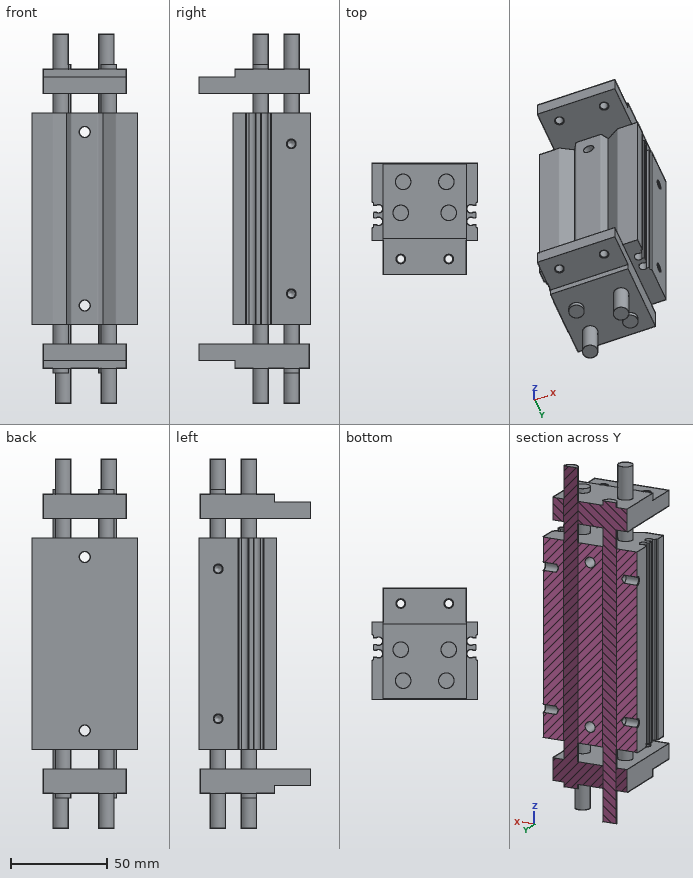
import cadquery as cq
import math


HOUSING_WIDTH = 55.0
HOUSING_DEPTH = 40.3
HOUSING_HEIGHT = 110.2
HALF_WIDTH = HOUSING_WIDTH / 2
HALF_HEIGHT = HOUSING_HEIGHT / 2

GROOVE_OUTER_X = 16.3
GROOVE_INNER_X = 7.1
GROOVE_LIP_RADIUS = 1.0
GROOVE_SLOPE = 30

SENSOR_Y = 13.2
SENSOR_PITCH = 6.5
SENSOR_DIAMETER = 4.2
SENSOR_MOUTH = 3.5
SENSOR_CENTRE_DEPTH = 3.5
RECESS_DEPTH = 0.8
RECESS_WIDTH = 12.7
RECESS_CHAMFER = 0.4
TONGUE_CHAMFER = 0.4

FRONT_HOLE_DIAMETER = 5.5
FRONT_HOLE_Z = 45.1
TAP_DIAMETER = 4.2
TAP_MOUTH_DIAMETER = 5.0
TAP_CHAMFER = (TAP_MOUTH_DIAMETER - TAP_DIAMETER) / 2
SIDE_HOLE_Y = 30.3
SIDE_HOLE_Z = 39.0
SIDE_HOLE_DEPTH = 7.7
DRILL_POINT_ANGLE = 118

ROD_DIAMETER = 8.0
FRONT_ROD_SPACING = 25.0
FRONT_ROD_X = FRONT_ROD_SPACING / 2
FRONT_ROD_Y = 14.4
BACK_ROD_SPACING = 22.5
BACK_ROD_X = BACK_ROD_SPACING / 2
BACK_ROD_Y = 30.5
ROD_FAR_Z = 96.0
ROD_STUB = 2.5

PLATE_WIDTH = 43.4
PLATE_INNER_Z = 65.0
PLATE_THICKNESS = 12.7
PLATE_OUTER_Z = PLATE_INNER_Z + PLATE_THICKNESS
TONGUE_THICKNESS = 8.6
PLATE_FRONT_Y = -17.7
PLATE_STEP_Y = 1.0
PLATE_BACK_Y = 39.7
PLATE_HOLE_X = FRONT_ROD_X
PLATE_HOLE_Y = -9.6

OWN_RODS = [(-BACK_ROD_X, BACK_ROD_Y), (FRONT_ROD_X, FRONT_ROD_Y)]
PASSING_RODS = [(-x, y) for x, y in OWN_RODS]


def rod_set(positions, bottom_z, top_z):
    """Vertical cylinders of the rod diameter at the given XY positions."""
    return (
        cq.Workplane("XY", origin=(0, 0, bottom_z))
        .pushPoints(positions)
        .circle(ROD_DIAMETER / 2)
        .extrude(top_z - bottom_z)
    )


def housing_prism(sketch):
    """Extrude an XY outline over the full housing height."""
    return sketch.extrude(HOUSING_HEIGHT)


def housing_plane():
    return cq.Workplane("XY", origin=(0, 0, -HALF_HEIGHT))


def mirrored_pair(cutter):
    """A cutter on the -X side together with its mirror image."""
    return cutter.union(cutter.mirror("YZ"))


def cut_front_grooves(block):
    """Cut two mirrored V-grooves with a 90 degree root, then round the lips."""
    slope = math.radians(GROOVE_SLOPE)
    long_flank = (GROOVE_OUTER_X - GROOVE_INNER_X) * math.cos(slope)
    root_x = -GROOVE_OUTER_X + long_flank * math.cos(slope)
    root_y = long_flank * math.sin(slope)
    outline = housing_plane().polyline([
        (-GROOVE_OUTER_X, 0),
        (root_x, root_y),
        (-GROOVE_INNER_X, 0),
    ]).close()
    grooved = block.cut(mirrored_pair(housing_prism(outline)))

    lip_reach = GROOVE_OUTER_X + GROOVE_LIP_RADIUS
    lips = cq.selectors.BoxSelector(
        (-lip_reach, -GROOVE_LIP_RADIUS, -GROOVE_LIP_RADIUS),
        (lip_reach, GROOVE_LIP_RADIUS, GROOVE_LIP_RADIUS),
    )
    return grooved.edges("|Z").edges(lips).fillet(GROOVE_LIP_RADIUS)


def sensor_slots():
    """Shallow side recess with two round-bottomed slots and a tongue between them."""
    recess_x = -HALF_WIDTH + RECESS_DEPTH
    half = RECESS_WIDTH / 2
    outline = housing_plane().polyline([
        (-HALF_WIDTH, SENSOR_Y - half - RECESS_CHAMFER),
        (recess_x, SENSOR_Y - half),
        (recess_x, SENSOR_Y + half),
        (-HALF_WIDTH, SENSOR_Y + half + RECESS_CHAMFER),
    ]).close()
    cutter = housing_prism(outline)

    centre_x = -HALF_WIDTH + SENSOR_CENTRE_DEPTH
    for side in (-1, 1):
        centre_y = SENSOR_Y + side * SENSOR_PITCH / 2
        tongue_y = centre_y - side * SENSOR_MOUTH / 2
        bore = housing_prism(housing_plane().center(centre_x, centre_y).circle(SENSOR_DIAMETER / 2))
        mouth = housing_prism(
            housing_plane()
            .center((centre_x - HALF_WIDTH) / 2, centre_y)
            .rect(centre_x + HALF_WIDTH, SENSOR_MOUTH)
        )
        corner = housing_prism(
            housing_plane().polyline([
                (recess_x, tongue_y),
                (recess_x + TONGUE_CHAMFER, tongue_y),
                (recess_x, tongue_y - side * TONGUE_CHAMFER),
            ]).close()
        )
        cutter = cutter.union(bore).union(mouth).union(corner)
    return mirrored_pair(cutter)


def front_holes():
    return (
        cq.Workplane("XZ")
        .pushPoints([(0, -FRONT_HOLE_Z), (0, FRONT_HOLE_Z)])
        .circle(FRONT_HOLE_DIAMETER / 2)
        .extrude(-HOUSING_DEPTH)
    )


def side_holes():
    """Blind tapped holes with a chamfered mouth and a drill point."""
    radius = TAP_DIAMETER / 2
    tip = radius / math.tan(math.radians(DRILL_POINT_ANGLE / 2))
    drill = (
        cq.Workplane("XY")
        .polyline([
            (0, 0),
            (0, TAP_MOUTH_DIAMETER / 2),
            (TAP_CHAMFER, radius),
            (SIDE_HOLE_DEPTH, radius),
            (SIDE_HOLE_DEPTH + tip, 0),
        ])
        .close()
        .revolve(360, (0, 0, 0), (1, 0, 0))
        .translate((-HALF_WIDTH, SIDE_HOLE_Y, 0))
    )
    pair = drill.translate((0, 0, SIDE_HOLE_Z)).union(drill.translate((0, 0, -SIDE_HOLE_Z)))
    return mirrored_pair(pair)


def make_housing():
    block = cq.Workplane("XY").box(
        HOUSING_WIDTH, HOUSING_DEPTH, HOUSING_HEIGHT, centered=(True, False, True)
    )
    block = cut_front_grooves(block)
    rod_bores = rod_set(OWN_RODS + PASSING_RODS, -HALF_HEIGHT, HALF_HEIGHT)
    for cutter in (sensor_slots(), front_holes(), side_holes(), rod_bores):
        block = block.cut(cutter)
    return block


def make_upper_slide():
    """Stepped end plate fixed to two rods, with clearance bores for the other two."""
    tongue_top = PLATE_INNER_Z + TONGUE_THICKNESS
    plate = (
        cq.Workplane("YZ", origin=(-PLATE_WIDTH / 2, 0, 0))
        .polyline([
            (PLATE_FRONT_Y, PLATE_INNER_Z),
            (PLATE_BACK_Y, PLATE_INNER_Z),
            (PLATE_BACK_Y, PLATE_OUTER_Z),
            (PLATE_STEP_Y, PLATE_OUTER_Z),
            (PLATE_STEP_Y, tongue_top),
            (PLATE_FRONT_Y, tongue_top),
        ])
        .close()
        .extrude(PLATE_WIDTH)
    )
    tapped_hole = (
        cq.Workplane("XZ")
        .polyline([
            (0, PLATE_INNER_Z),
            (TAP_MOUTH_DIAMETER / 2, PLATE_INNER_Z),
            (TAP_DIAMETER / 2, PLATE_INNER_Z + TAP_CHAMFER),
            (TAP_DIAMETER / 2, tongue_top - TAP_CHAMFER),
            (TAP_MOUTH_DIAMETER / 2, tongue_top),
            (0, tongue_top),
        ])
        .close()
        .revolve(360, (0, 0, 0), (0, 1, 0))
    )
    for x in (-PLATE_HOLE_X, PLATE_HOLE_X):
        plate = plate.cut(tapped_hole.translate((x, PLATE_HOLE_Y, 0)))
    plate = plate.cut(rod_set(PASSING_RODS, PLATE_INNER_Z, PLATE_OUTER_Z))
    return plate.union(rod_set(OWN_RODS, -ROD_FAR_Z, PLATE_OUTER_Z + ROD_STUB))


housing = make_housing()
upper_slide = make_upper_slide()
lower_slide = upper_slide.rotate((0, 0, 0), (0, 1, 0), 180)

result = cq.Compound.makeCompound([housing.val(), upper_slide.val(), lower_slide.val()])